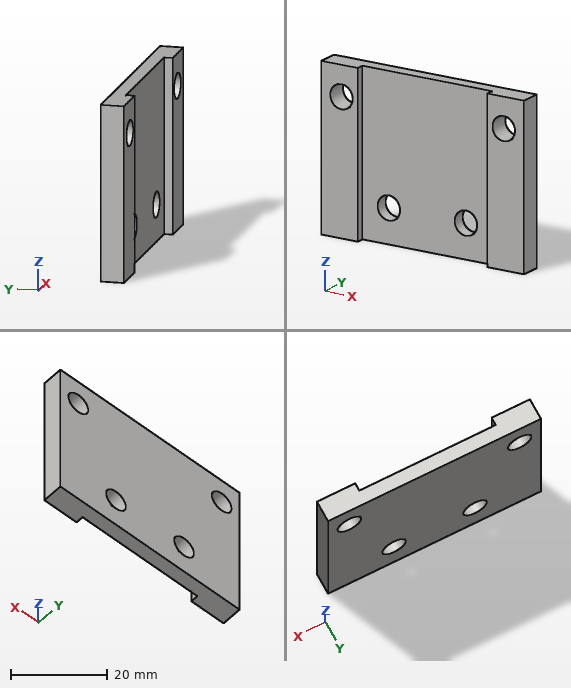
import cadquery as cq

width = 50.0
thickness = 5.0
height = 38.0

rail_width = 9.0
channel_width = width - 2 * rail_width
channel_depth = 1.85

hole_diameter = 5.5
rail_hole_spacing = 40.0
rail_hole_drop = 7.0
channel_hole_spacing = 19.0
channel_hole_rise = 8.0


def hole_pair(spacing, z):
    """Two cylinders along Y, mirrored about the middle of the plate."""
    return (
        cq.Workplane("XZ", origin=(0, thickness, 0))
        .pushPoints([(-spacing / 2, z), (spacing / 2, z)])
        .circle(hole_diameter / 2)
        .extrude(2 * thickness)
    )


plate = cq.Workplane("XY").box(width, thickness, height)

channel_center_y = (channel_depth - thickness) / 2
channel = (
    cq.Workplane("XY")
    .box(channel_width, channel_depth, height)
    .translate((0, channel_center_y, 0))
)

rail_holes = hole_pair(rail_hole_spacing, height / 2 - rail_hole_drop)
channel_holes = hole_pair(channel_hole_spacing, channel_hole_rise - height / 2)

result = plate.cut(channel).cut(rail_holes).cut(channel_holes)